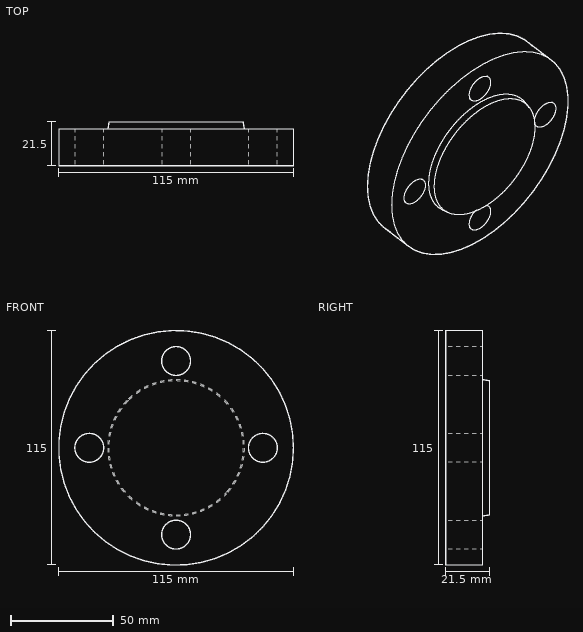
import cadquery as cq

flange_diameter = 115.0
total_thickness = 21.5
raised_face_height = 3.5
raised_face_base_diameter = 66.9
raised_face_top_diameter = 65.8
bolt_circle_diameter = 85.0
bolt_hole_diameter = 14.0
bolt_hole_count = 4

flange_thickness = total_thickness - raised_face_height


def flange_body():
    """Revolve the half section of the disc and its tapered raised face about Y."""
    half_section = (
        cq.Workplane("XY")
        .lineTo(flange_diameter / 2, 0)
        .lineTo(flange_diameter / 2, flange_thickness)
        .lineTo(raised_face_base_diameter / 2, flange_thickness)
        .lineTo(raised_face_top_diameter / 2, total_thickness)
        .lineTo(0, total_thickness)
        .close()
    )
    return half_section.revolve(360, (0, 0, 0), (0, 1, 0))


def bolt_holes():
    """Through-hole cutters spaced evenly on the bolt circle."""
    return (
        cq.Workplane("XZ")
        .polarArray(bolt_circle_diameter / 2, 0, 360, bolt_hole_count)
        .circle(bolt_hole_diameter / 2)
        .extrude(-total_thickness)
    )


result = flange_body().cut(bolt_holes())